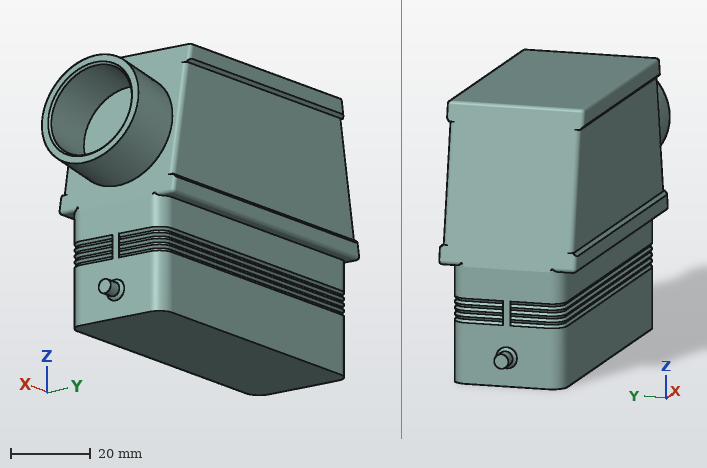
import cadquery as cq
import math

BODY_LENGTH = 79.4
BODY_WIDTH = 29.4
BODY_CORNER_RADIUS = 4.0

GROOVE_COUNT = 4
GROOVE_BOTTOM = 15.7
GROOVE_PITCH = 1.6
GROOVE_DEPTH = 0.6
GROOVE_GAP = 1.9

PIN_SPAN = 88.4
PIN_RADIUS = 1.85
PIN_FOOT_RADIUS = 2.7
PIN_HEIGHT = 7.4

HOOD_BOTTOM = 30.0
HOOD_TOP = 70.5
HOOD_WIDTH = 36.0
HOOD_EDGE_RADIUS = 1.0
END_TILT = 10.7

PANEL_DEPTH = 0.9
PANEL_BOTTOM = 34.2
PANEL_TOP = 66.3
PANEL_EDGE_RADIUS = 1.3

ENTRY_RADIUS = 14.9
ENTRY_BORE_RADIUS = 12.4
ENTRY_CHAMFER = 0.6
ENTRY_LENGTH = 14.6
ENTRY_HEIGHT = 49.4
ENTRY_ROOT = 4.9

END_SLOPE = math.tan(math.radians(END_TILT))


def hood_half_length(height):
    """Distance from the Z axis to the leaning hood end at a given height."""
    return BODY_LENGTH / 2 - (height - HOOD_BOTTOM) * END_SLOPE


def body_block(bottom, height, taper=0, inset=0):
    """Block with the rounded outline of the lower body, offset inwards by inset."""
    outline = (
        cq.Sketch()
        .rect(BODY_LENGTH - 2 * inset, BODY_WIDTH - 2 * inset)
        .vertices()
        .fillet(BODY_CORNER_RADIUS - inset)
    )
    return cq.Workplane().workplane(offset=bottom).placeSketch(outline).extrude(height, taper=taper)


def hood_block(width):
    """Sharp-edged trapezoidal block with the side outline of the hood."""
    bottom_half = hood_half_length(HOOD_BOTTOM)
    top_half = hood_half_length(HOOD_TOP)
    outline = [
        (-bottom_half, HOOD_BOTTOM),
        (bottom_half, HOOD_BOTTOM),
        (top_half, HOOD_TOP),
        (-top_half, HOOD_TOP),
    ]
    return cq.Workplane("XZ").polyline(outline).close().extrude(width / 2, both=True)


def groove(bottom):
    """Cutter for one V groove, interrupted in the middle of both ends."""
    half_pitch = GROOVE_PITCH / 2
    taper = math.degrees(math.atan(GROOVE_DEPTH / half_pitch))
    lower_core = body_block(bottom, half_pitch, taper=taper)
    upper_core = body_block(bottom + half_pitch, half_pitch, taper=-taper, inset=GROOVE_DEPTH)
    gap = cq.Workplane().box(2 * BODY_LENGTH, GROOVE_GAP, GROOVE_PITCH, centered=(True, True, False))
    gap = gap.translate((0, 0, bottom))
    slab = body_block(bottom, GROOVE_PITCH)
    return slab.cut(lower_core).cut(upper_core).cut(gap)


def lower_body():
    body = body_block(0, HOOD_BOTTOM)
    for index in range(GROOVE_COUNT):
        body = body.cut(groove(GROOVE_BOTTOM + index * GROOVE_PITCH))
    return body


def pins():
    """Pin through the whole body, with a conical foot on each end face."""
    tip = PIN_SPAN / 2
    foot_start = BODY_LENGTH / 2
    foot_end = foot_start + PIN_FOOT_RADIUS - PIN_RADIUS
    profile = [
        (-tip, 0),
        (-tip, PIN_RADIUS),
        (-foot_end, PIN_RADIUS),
        (-foot_start, PIN_FOOT_RADIUS),
        (foot_start, PIN_FOOT_RADIUS),
        (foot_end, PIN_RADIUS),
        (tip, PIN_RADIUS),
        (tip, 0),
    ]
    turned = cq.Workplane("XZ").polyline(profile).close().revolve(360, (0, 0, 0), (1, 0, 0))
    return turned.translate((0, 0, PIN_HEIGHT))


def side_recess():
    """Cutter for the +Y side recess, deep enough to clear the rounded panel corners."""
    outer = HOOD_WIDTH / 2
    panel_face = outer - PANEL_DEPTH
    inner = panel_face - PANEL_EDGE_RADIUS
    ramp_bottom_end = PANEL_BOTTOM + PANEL_DEPTH
    ramp_top_end = PANEL_TOP - PANEL_DEPTH
    profile = [
        (outer, PANEL_BOTTOM),
        (panel_face, ramp_bottom_end),
        (inner, ramp_bottom_end),
        (inner, ramp_top_end),
        (panel_face, ramp_top_end),
        (outer, PANEL_TOP),
    ]
    return cq.Workplane("YZ").polyline(profile).close().extrude(BODY_LENGTH, both=True)


def hood():
    recess = side_recess()
    shell = hood_block(HOOD_WIDTH).edges().fillet(HOOD_EDGE_RADIUS)
    shell = shell.cut(recess).cut(recess.mirror("XZ"))

    panel = hood_block(HOOD_WIDTH - 2 * PANEL_DEPTH)
    panel = panel.edges("not (|X or |Y)").fillet(PANEL_EDGE_RADIUS)
    trim_height = PANEL_TOP - PANEL_BOTTOM
    trim = cq.Workplane().box(BODY_LENGTH, HOOD_WIDTH, trim_height, centered=(True, True, False))
    panel = panel.intersect(trim.translate((0, 0, PANEL_BOTTOM)))

    neck = hood_block(HOOD_WIDTH).intersect(body_block(HOOD_BOTTOM, PANEL_BOTTOM - HOOD_BOTTOM))
    return shell.union(panel).union(neck)


def entry_plane(distance):
    """Plane square to the tube axis, at a distance outside the hood end face."""
    tilt = math.radians(END_TILT)
    direction = (math.cos(tilt), 0, math.sin(tilt))
    origin = (
        hood_half_length(ENTRY_HEIGHT) + distance * direction[0],
        0,
        ENTRY_HEIGHT + distance * direction[2],
    )
    return cq.Plane(origin=origin, xDir=(0, 1, 0), normal=direction)


def entry_tube():
    return cq.Workplane(entry_plane(-ENTRY_ROOT)).circle(ENTRY_RADIUS).extrude(ENTRY_ROOT + ENTRY_LENGTH)


def entry_bore():
    """Bore as deep as the exposed tube, with a chamfered mouth."""
    bore = cq.Workplane(entry_plane(0)).circle(ENTRY_BORE_RADIUS).extrude(ENTRY_LENGTH)
    mouth = (
        cq.Workplane(entry_plane(ENTRY_LENGTH))
        .circle(ENTRY_BORE_RADIUS + ENTRY_CHAMFER)
        .extrude(-ENTRY_CHAMFER, taper=45)
    )
    return bore.union(mouth)


result = lower_body().union(pins()).union(hood()).union(entry_tube()).cut(entry_bore())